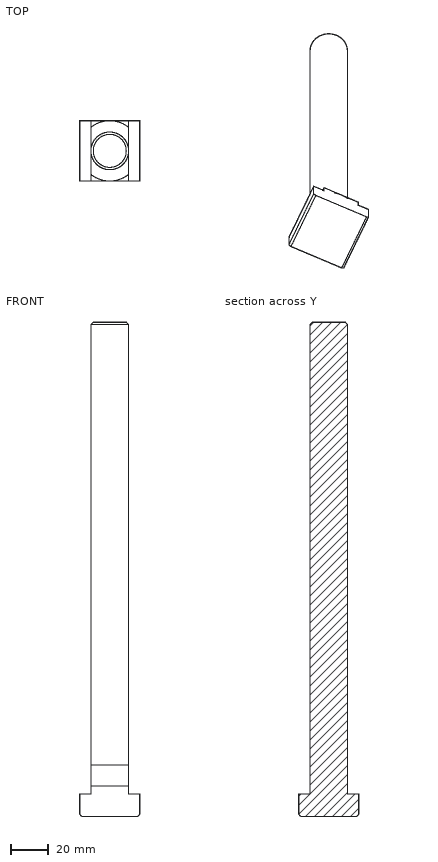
import cadquery as cq

head_size = 32.0
head_height = 12.0
head_chamfer = 1.25

shank_diameter = 20.0
shank_end_chamfer = 1.25
length_under_head = 250.0

neck_width = shank_diameter
neck_height = 4.25
transition_height = 11.0

neck_top = head_height + neck_height
transition_top = neck_top + transition_height
total_height = head_height + length_under_head


def block(width, height, base):
    """Box of the head's full depth in Y, centred on the axis and standing at Z = base."""
    return (
        cq.Workplane("XY")
        .workplane(offset=base)
        .box(width, head_size, height, centered=(True, True, False))
    )


def make_head():
    """Square block whose two bottom edges along Y are chamfered."""
    return block(head_size, head_height, 0).faces("<Z").edges("|Y").chamfer(head_chamfer)


def make_neck():
    """Narrow slab on the head that guides the bolt in its slot."""
    return block(neck_width, neck_height, head_height)


def make_transition():
    """Cone from the head's depth up to the shank, cut flat to the neck width."""
    cone = cq.Solid.makeCone(
        head_size / 2,
        shank_diameter / 2,
        transition_height,
        pnt=cq.Vector(0, 0, neck_top),
    )
    return cq.Workplane(cone).intersect(block(neck_width, transition_height, neck_top))


def make_shank():
    """Round shank with a chamfered free end."""
    return (
        cq.Workplane("XY")
        .workplane(offset=transition_top)
        .circle(shank_diameter / 2)
        .extrude(total_height - transition_top)
        .faces(">Z")
        .chamfer(shank_end_chamfer)
    )


result = make_head().union(make_neck()).union(make_transition()).union(make_shank())